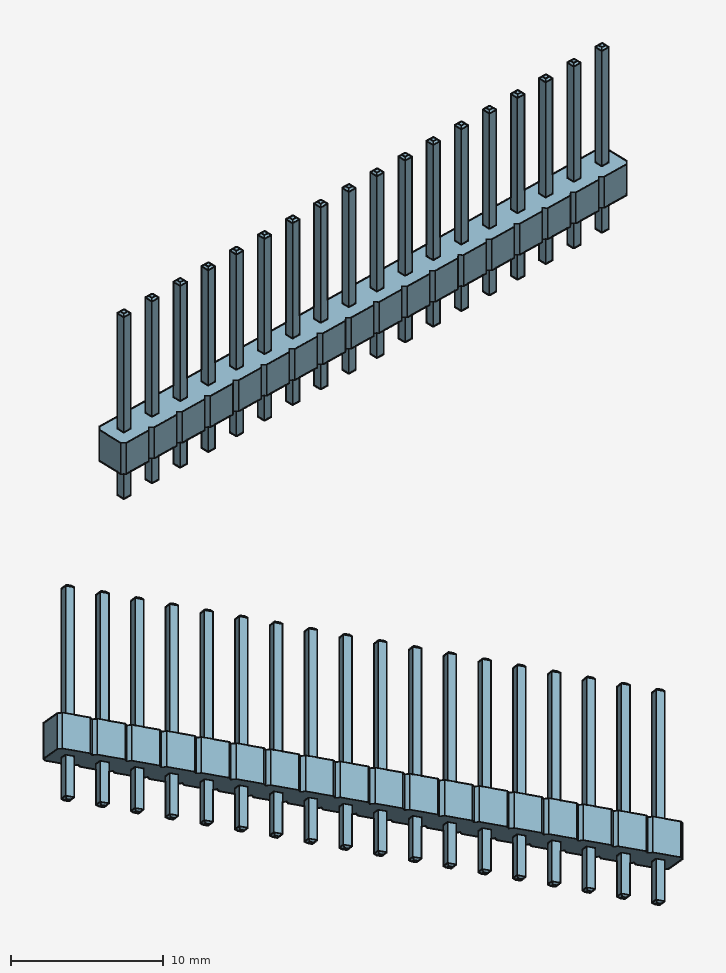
import cadquery as cq

row_length = 45.7
pin_count = 18
total_height = 15.0

pitch = row_length / pin_count
body_width = pitch
body_height = 2.5
corner_chamfer = 0.25

pin_width = 0.65
tip_chamfer = 0.15
tail_length = 3.0


def pin_position(index):
    """Y coordinate of a pin, with the row centred on the origin."""
    return (index - (pin_count - 1) / 2) * pitch


def make_block(y):
    """One body block; its chamfered upright edges form V notches between neighbours."""
    return (
        cq.Workplane("XY")
        .center(0, y)
        .rect(body_width, pitch)
        .extrude(body_height)
        .edges("|Z")
        .chamfer(corner_chamfer)
    )


def make_pin(y):
    """One pin, reaching below the body by the tail length and bevelled at both tips."""
    return (
        cq.Workplane("XY", origin=(0, y, -tail_length))
        .rect(pin_width, pin_width)
        .extrude(total_height)
        .faces("<Z or >Z")
        .chamfer(tip_chamfer)
    )


result = make_block(pin_position(0))
for index in range(1, pin_count):
    result = result.union(make_block(pin_position(index)))
result = result.clean()

for index in range(pin_count):
    result = result.union(make_pin(pin_position(index)))